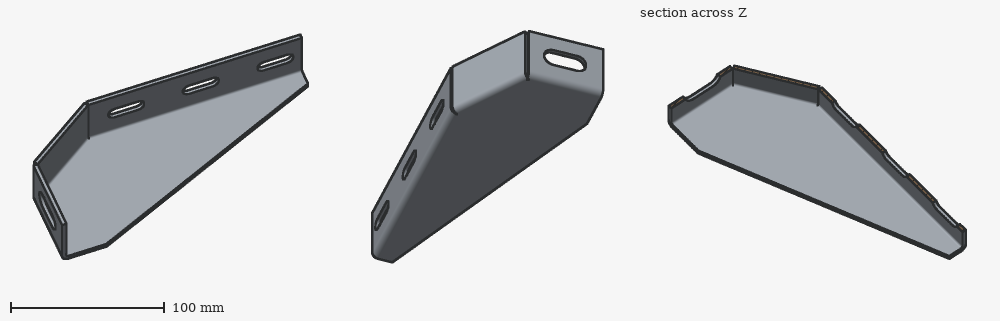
import cadquery as cq
import math

WIDTH = 87.0
LENGTH = 200.0
HEIGHT = 39.0

THICKNESS = 3.0
INNER_RADIUS = 1.5
OUTER_RADIUS = INNER_RADIUS + THICKNESS

END_WALL_START_X = 35.6
SIDE_WALL_START_Y = 51.0
CORNER_TRIM = 0.05

FREE_EDGE_Y = 31.0
TIP_X = 14.0

SLOT_CENTRE_Z = (THICKNESS + HEIGHT) / 2
SIDE_SLOT_LENGTH = 25.0
SIDE_SLOT_WIDTH = 9.0
SIDE_SLOT_COUNT = 3
SIDE_SLOT_PITCH = 52.0
FIRST_SIDE_SLOT_Y = 77.5
END_SLOT_LENGTH = 29.0
END_SLOT_WIDTH = 13.0
END_SLOT_CENTRE_X = 60.5

END_WALL_FREE_END = (WIDTH, THICKNESS)
END_CORNER = (END_WALL_START_X, THICKNESS)
SIDE_CORNER = (THICKNESS, SIDE_WALL_START_Y)
SIDE_WALL_FREE_END = (THICKNESS, LENGTH)

SIDE_TURN = math.atan2(END_WALL_START_X - THICKNESS, SIDE_WALL_START_Y - THICKNESS)
END_TURN = math.pi / 2 - SIDE_TURN


def base_plate():
    """Flat floor, bounded on the wall sides by the lines where the bends begin."""
    end_corner_x = END_WALL_START_X + INNER_RADIUS * math.tan(END_TURN / 2)
    side_corner_y = SIDE_WALL_START_Y + INNER_RADIUS * math.tan(SIDE_TURN / 2)
    outline = [
        (WIDTH, OUTER_RADIUS),
        (end_corner_x, OUTER_RADIUS),
        (OUTER_RADIUS, side_corner_y),
        (OUTER_RADIUS, LENGTH),
        (TIP_X, LENGTH),
        (WIDTH, FREE_EDGE_Y),
    ]
    return cq.Workplane("XY").polyline(outline).close().extrude(THICKNESS)


def flange(start, end, start_trim, end_trim):
    """Bend and upright wall; the inner face runs from start to end with the wall on its left."""
    run_x = end[0] - start[0]
    run_y = end[1] - start[1]
    wall_length = math.hypot(run_x, run_y) - start_trim - end_trim
    section = cq.Plane(origin=(*start, 0), xDir=(-run_y, run_x, 0), normal=(run_x, run_y, 0))
    arc_mid = math.sqrt(0.5)
    outer_mid = (OUTER_RADIUS * arc_mid - INNER_RADIUS, OUTER_RADIUS * (1 - arc_mid))
    inner_mid = (INNER_RADIUS * (arc_mid - 1), OUTER_RADIUS - INNER_RADIUS * arc_mid)
    return (
        cq.Workplane(section)
        .workplane(offset=start_trim)
        .moveTo(-INNER_RADIUS, 0)
        .threePointArc(outer_mid, (THICKNESS, OUTER_RADIUS))
        .lineTo(THICKNESS, HEIGHT)
        .lineTo(0, HEIGHT)
        .lineTo(0, OUTER_RADIUS)
        .threePointArc(inner_mid, (-INNER_RADIUS, THICKNESS))
        .close()
        .extrude(wall_length)
    )


def side_slots():
    centres = [(FIRST_SIDE_SLOT_Y + i * SIDE_SLOT_PITCH, SLOT_CENTRE_Z) for i in range(SIDE_SLOT_COUNT)]
    return (
        cq.Workplane("YZ")
        .pushPoints(centres)
        .slot2D(SIDE_SLOT_LENGTH, SIDE_SLOT_WIDTH)
        .extrude(THICKNESS)
    )


def end_slot():
    return (
        cq.Workplane("XZ")
        .center(END_SLOT_CENTRE_X, SLOT_CENTRE_Z)
        .slot2D(END_SLOT_LENGTH, END_SLOT_WIDTH)
        .extrude(-THICKNESS)
    )


end_flange = flange(END_WALL_FREE_END, END_CORNER, 0, CORNER_TRIM)
diagonal_flange = flange(END_CORNER, SIDE_CORNER, CORNER_TRIM, CORNER_TRIM)
side_flange = flange(SIDE_CORNER, SIDE_WALL_FREE_END, CORNER_TRIM, 0)

bracket = base_plate().union(end_flange).union(diagonal_flange).union(side_flange)
result = bracket.cut(side_slots()).cut(end_slot())